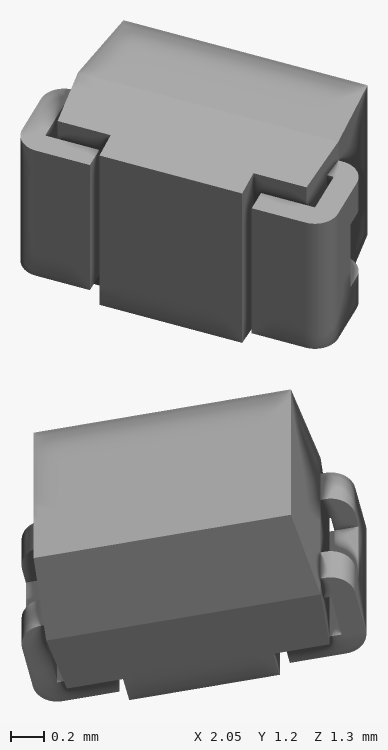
import cadquery as cq
import math

total_length = 2.05
total_depth = 1.2
body_height = 1.3
parting_y = total_depth / 2

body_length = 1.69
draft_angle = 5.0
pedestal_length = 0.927
step_depth = 0.18

lead_thickness = 0.15
lead_width = 1.0
lead_bend_radius = 0.15
lead_foot_end = 0.525
lead_notch_width = lead_width / 2
lead_notch_depth = 0.25

band_width = 0.228
band_thickness = 0.05
face_inset = (total_depth - parting_y) * math.tan(math.radians(draft_angle))
face_length = body_length - 2 * face_inset
face_height = body_height - 2 * face_inset


def box_between(x_min, x_max, y_min, y_max, height):
    """Box centred on Z between the given X and Y limits."""
    size_x = x_max - x_min
    size_y = y_max - y_min
    box = cq.Workplane("XY").box(size_x, size_y, height, centered=(False, False, True))
    return box.translate((x_min, y_min, 0))


def drafted_half(depth):
    """Half of the housing, tapering from the parting plane; negative depth goes to -Y."""
    normal_y = math.copysign(1, depth)
    parting_plane = cq.Plane(origin=(0, parting_y, 0), xDir=(1, 0, 0), normal=(0, normal_y, 0))
    outline = cq.Workplane(parting_plane).rect(body_length, body_height)
    return outline.extrude(abs(depth), taper=draft_angle)


def make_housing_blank():
    """Two drafted halves with a stepped underside that clears the lead feet."""
    blank = drafted_half(total_depth - parting_y).union(drafted_half(-parting_y))
    for x_min, x_max in (
        (-total_length / 2, -pedestal_length / 2),
        (pedestal_length / 2, total_length / 2),
    ):
        blank = blank.cut(box_between(x_min, x_max, 0, step_depth, body_height))
    return blank


def make_polarity_band():
    """Straight-sided strip along one end of the far face."""
    band_start = -face_length / 2
    return box_between(
        band_start, band_start + band_width, total_depth - band_thickness, total_depth, face_height
    )


def make_lead(side, housing_blank):
    """C-shaped strip on the given X side (-1 or 1), ending against the housing wall."""
    outer_x = total_length / 2
    inner_x = outer_x - lead_thickness
    arm_end = body_length / 2 - face_inset
    lead = box_between(lead_foot_end, outer_x, 0, parting_y, lead_width)
    lead = lead.edges("|Z and >X").fillet(lead_bend_radius)

    inside = box_between(0, inner_x, lead_thickness, parting_y - lead_thickness, lead_width)
    above_foot = box_between(0, arm_end, lead_thickness, parting_y, lead_width)
    notch = box_between(0, outer_x, parting_y - lead_notch_depth, parting_y, lead_notch_width)
    lead = lead.cut(inside).cut(above_foot).cut(notch)
    if side < 0:
        lead = lead.mirror("YZ")
    return lead.cut(housing_blank)


housing_blank = make_housing_blank()
polarity_band = make_polarity_band()
housing = housing_blank.cut(polarity_band)
leads = [make_lead(side, housing_blank) for side in (-1, 1)]

lead_solids = [lead.val().Solids()[0] for lead in leads]
result = cq.Compound.makeCompound(
    [housing.val().Solids()[0], polarity_band.val(), *lead_solids]
)